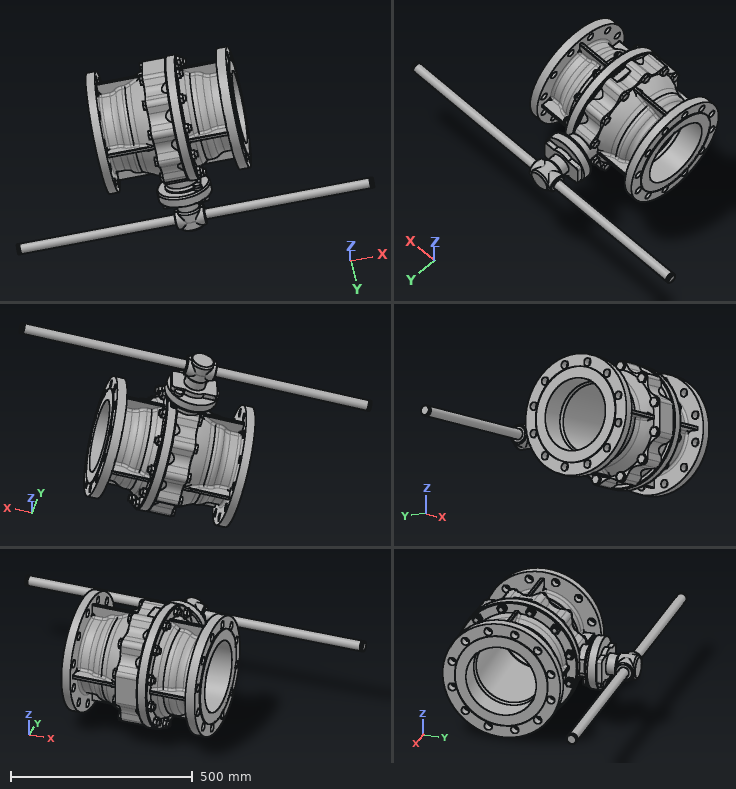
import cadquery as cq
import math


HALF_LENGTH = 200.0
MOUTH_RADIUS = 101.5
BORE_RADIUS = 97.5
MOUTH_DEPTH = 70.0
MOUTH_TAPER = 10.0
FLANGE_RADIUS = 170.0
RAISED_FACE_RADIUS = 134.0
RAISED_FACE_HEIGHT = 3.0
LEFT_FLANGE_BACK = 171.0
RIGHT_FLANGE_BACK = 169.0
BOLT_COUNT = 12
FLANGE_HOLE_CIRCLE_RADIUS = 147.5
FLANGE_HOLE_RADIUS = 11.0

PIPE_RADIUS = 113.0
SHOULDER_RADIUS = 127.0
SPHERE_RADIUS = 155.0
FLANGE_FILLET = 7.0
RIB_RADIUS = 151.0
RIB_THICKNESS = 10.0
RIB_FILLET = 7.0
RIB_CHAMFER = 1.5

BAND_START = -38.0
RING_START = 26.0
RING_END = 57.0
RING_RADIUS = 175.0
RING_CHAMFER = 3.0
BODY_BOLT_CIRCLE_RADIUS = 160.0
LOBE_RADIUS = 15.5
SCALLOP_RADIUS = 36.0
SCALLOP_FLOOR = 155.0
SCALLOP_CONE_LENGTH = 16.5
SCALLOP_CONE_RISE = 7.0
NUT_ACROSS_FLATS = 24.0
BOLT_HEAD_HEIGHT = 8.0
NUT_HEIGHT = 9.0
STUD_RADIUS = 8.0
STUD_LENGTH = 16.0
NAMEPLATE_START = 1.0
NAMEPLATE_LENGTH = 21.5
NAMEPLATE_WIDTH = 58.0
NAMEPLATE_TOP = 164.0

STEM_AXIS_X = -1.5
NECK_BASE = 120.0
NECK_RADIUS = 45.0
NECK_FLAT_X = 40.0
NECK_COLLAR_RADIUS = 50.0
NECK_COLLAR_START = 190.0
NECK_COLLAR_RISE = 8.0
DISC_RADIUS = 75.0
DISC_START = 202.0
DISC_END = 232.0
DISC_CHAMFER_RADIAL = 3.0
DISC_CHAMFER_AXIAL = 6.0
GLAND_END = 247.0
GLAND_RADIUS = 45.0
GLAND_LENGTH = 129.0
GLAND_WIDTH = 72.0
GLAND_CORNER_RADIUS = 8.0
STEM_RADIUS = 30.0
STOP_BOLT_OFFSET = 42.0
STOP_HEAD_RADIUS = 12.0
STOP_HEAD_HEIGHT = 9.0
STOP_NUT_HEIGHT = 7.0
STOP_END_RADIUS = 10.0
STOP_END_LENGTH = 14.0

HEAD_START = 274.0
HEAD_END = 332.0
HEAD_RADIUS = 35.0
HEAD_CHAMFER = 5.0
SLEEVE_END_RADIUS = 27.5
SLEEVE_HALF_LENGTH = 42.0
SLEEVE_WIDTH = 54.0
SLEEVE_CHAMFER_LENGTH = 2.0
SLEEVE_FACE_RADIUS = 23.0
BAR_RADIUS = 15.0
BAR_LENGTH = 1000.0
BAR_SHIFT = 12.0
BAR_END_CHAMFER = 2.0
BAR_GROOVE_INSET = 6.0
BAR_GROOVE_WIDTH = 3.0
BAR_GROOVE_DEPTH = 0.8

X_AXIS = cq.Vector(1, 0, 0)
Y_AXIS = cq.Vector(0, 1, 0)


def x_cylinder(radius, start, end, y=0.0, z=0.0):
    return cq.Workplane(cq.Solid.makeCylinder(radius, end - start, cq.Vector(start, y, z), X_AXIS))


def y_cylinder(radius, start, end, x=0.0, z=0.0):
    return cq.Workplane(cq.Solid.makeCylinder(radius, end - start, cq.Vector(x, start, z), Y_AXIS))


def polar(radius, degrees):
    angle = math.radians(degrees)
    return radius * math.cos(angle), radius * math.sin(angle)


def bolt_angles():
    pitch = 360.0 / BOLT_COUNT
    return [pitch * (index + 0.5) for index in range(BOLT_COUNT)]


def is_rib_root(edge, start, end):
    """True for the edges where a rib's side faces run along the shell, between two X stations."""
    for fraction in (0.1, 0.5, 0.9):
        point = edge.positionAt(fraction)
        side, height = sorted((abs(point.y), abs(point.z)))
        on_rib_side = math.isclose(side, RIB_THICKNESS / 2, abs_tol=0.001)
        on_shell = height < RIB_RADIUS - RIB_CHAMFER and start < point.x < end
        if not (on_rib_side and on_shell):
            return False
    return True


def sphere_radius_at(x):
    return math.sqrt(SPHERE_RADIUS**2 - x**2)


def body_shell(joint, flange_back, pipe_end, shoulder_outer, shoulder_inner, sphere_edge):
    """One half of the shell, revolved about X from its joint towards +X, with its four ribs."""
    pipe_start = flange_back - FLANGE_FILLET
    slope_mid = ((pipe_end + shoulder_outer) / 2, (PIPE_RADIUS + SHOULDER_RADIUS) / 2)
    sphere_mid = (joint + sphere_edge) / 2
    shell = (
        cq.Workplane("XY")
        .moveTo(joint, 0)
        .lineTo(flange_back, 0)
        .lineTo(flange_back, PIPE_RADIUS + FLANGE_FILLET)
        .radiusArc((pipe_start, PIPE_RADIUS), FLANGE_FILLET)
        .lineTo(pipe_end, PIPE_RADIUS)
        .tangentArcPoint(slope_mid, relative=False)
        .tangentArcPoint((shoulder_outer, SHOULDER_RADIUS), relative=False)
        .lineTo(shoulder_inner, SHOULDER_RADIUS)
        .lineTo(sphere_edge, sphere_radius_at(sphere_edge))
        .threePointArc((sphere_mid, sphere_radius_at(sphere_mid)), (joint, sphere_radius_at(joint)))
        .close()
        .revolve(360, (0, 0, 0), (1, 0, 0))
    )
    rib = cq.Workplane("XY").box(flange_back - joint, 2 * RIB_RADIUS, RIB_THICKNESS)
    rib = rib.faces("<Y or >Y").edges("|X").chamfer(RIB_CHAMFER)
    rib = rib.translate(((joint + flange_back) / 2, 0, 0))
    shell = shell.union(rib).union(rib.rotate((0, 0, 0), (1, 0, 0), 90))
    roots = [edge for edge in shell.edges().vals() if is_rib_root(edge, joint, pipe_start)]
    return shell.newObject(roots).fillet(RIB_FILLET)


def end_flange(side, back):
    """Flange with raised face; side is -1 for the -X end and +1 for the +X end."""
    face = HALF_LENGTH - RAISED_FACE_HEIGHT
    start, end = sorted((side * back, side * face))
    flange = x_cylinder(FLANGE_RADIUS, start, end)
    for angle in bolt_angles():
        y, z = polar(FLANGE_HOLE_CIRCLE_RADIUS, angle)
        flange = flange.cut(x_cylinder(FLANGE_HOLE_RADIUS, start, end, y, z))
    start, end = sorted((side * back, side * HALF_LENGTH))
    return flange.union(x_cylinder(RAISED_FACE_RADIUS, start, end))


def tangent_flank(bolt, scallop):
    """Touch points, on the lobe and on the scallop, of the straight flank joining their circles."""
    dy, dz = scallop[0] - bolt[0], scallop[1] - bolt[1]
    distance = math.hypot(dy, dz)
    heading = math.atan2(dz, dy)
    turn = math.acos((LOBE_RADIUS + SCALLOP_RADIUS) / distance)
    clockwise = bolt[0] * dz - bolt[1] * dy < 0
    direction = heading + (turn if clockwise else -turn)
    normal_y, normal_z = math.cos(direction), math.sin(direction)
    on_lobe = (bolt[0] + LOBE_RADIUS * normal_y, bolt[1] + LOBE_RADIUS * normal_z)
    on_scallop = (scallop[0] - SCALLOP_RADIUS * normal_y, scallop[1] - SCALLOP_RADIUS * normal_z)
    return on_lobe, on_scallop


def mirrored_about(point, degrees):
    """Reflect a YZ point in the radial line at the given angle."""
    radius = math.hypot(*point)
    angle = math.degrees(math.atan2(point[1], point[0]))
    return polar(radius, 2 * degrees - angle)


def lobed_band():
    """Band with a round lobe at every bolt, hollows between them and flat pads at +Y and -Y."""
    half_pitch = 180.0 / BOLT_COUNT
    outline = None
    for angle in bolt_angles():
        bolt = polar(BODY_BOLT_CIRCLE_RADIUS, angle)
        before = polar(SCALLOP_FLOOR + SCALLOP_RADIUS, angle - half_pitch)
        after = polar(SCALLOP_FLOOR + SCALLOP_RADIUS, angle + half_pitch)
        lobe_in, scallop_out = tangent_flank(bolt, before)
        lobe_out, scallop_in = tangent_flank(bolt, after)
        lobe_tip = polar(BODY_BOLT_CIRCLE_RADIUS + LOBE_RADIUS, angle)
        scallop_floor = polar(SCALLOP_FLOOR, angle + half_pitch)
        if outline is None:
            outline = cq.Workplane("YZ", origin=(BAND_START, 0, 0)).moveTo(*scallop_out)
        outline = outline.lineTo(*lobe_in).threePointArc(lobe_tip, lobe_out).lineTo(*scallop_in)
        next_scallop_out = mirrored_about(scallop_in, angle + half_pitch)
        outline = outline.threePointArc(scallop_floor, next_scallop_out)
    band = outline.close().extrude(RING_START - BAND_START)

    bolt_y, bolt_z = polar(BODY_BOLT_CIRCLE_RADIUS, half_pitch)
    pad = cq.Workplane("XY").box(RING_START - BAND_START, 2 * (bolt_y + LOBE_RADIUS), 2 * bolt_z)
    return band.union(pad.translate(((BAND_START + RING_START) / 2, 0, 0)))


def joint_ring():
    ring = x_cylinder(RING_RADIUS, RING_START, RING_END).edges().chamfer(RING_CHAMFER)
    cone = cq.Solid.makeCone(
        SCALLOP_FLOOR,
        SCALLOP_FLOOR + SCALLOP_CONE_RISE,
        SCALLOP_CONE_LENGTH,
        cq.Vector(RING_START - SCALLOP_CONE_LENGTH, 0, 0),
        X_AXIS,
    )
    return ring.union(cq.Workplane(cone))


def hexagon_x(start, height, y, z):
    diameter = NUT_ACROSS_FLATS / math.cos(math.radians(30))
    return cq.Workplane("YZ", origin=(start, y, z)).polygon(6, diameter).extrude(height)


def body_bolts():
    """Bolt heads on the band, nuts and stud ends on the ring."""
    bolts = cq.Workplane("XY")
    for angle in bolt_angles():
        y, z = polar(BODY_BOLT_CIRCLE_RADIUS, angle)
        bolts = bolts.add(hexagon_x(BAND_START - BOLT_HEAD_HEIGHT, BOLT_HEAD_HEIGHT, y, z))
        bolts = bolts.add(hexagon_x(RING_END, NUT_HEIGHT, y, z))
        bolts = bolts.add(x_cylinder(STUD_RADIUS, RING_END, RING_END + STUD_LENGTH, y, z))
    return bolts.combine()


def nameplate():
    """Block on the +Z side, filling part of the hollow there."""
    base = cq.Workplane("XY", origin=(NAMEPLATE_START, 0, 0))
    return base.box(NAMEPLATE_LENGTH, NAMEPLATE_WIDTH, NAMEPLATE_TOP, centered=(False, True, False))


def bore_cutter():
    """Through bore that tapers out to a wider mouth at both ends."""
    mouth_end = HALF_LENGTH - MOUTH_DEPTH
    taper_end = mouth_end - MOUTH_TAPER
    return (
        cq.Workplane("XY")
        .moveTo(-HALF_LENGTH, 0)
        .lineTo(-HALF_LENGTH, MOUTH_RADIUS)
        .lineTo(-mouth_end, MOUTH_RADIUS)
        .lineTo(-taper_end, BORE_RADIUS)
        .lineTo(taper_end, BORE_RADIUS)
        .lineTo(mouth_end, MOUTH_RADIUS)
        .lineTo(HALF_LENGTH, MOUTH_RADIUS)
        .lineTo(HALF_LENGTH, 0)
        .close()
        .revolve(360, (0, 0, 0), (1, 0, 0))
    )


def neck():
    """Neck below the disc, flattened beside the joint ring, with its conical collar and the disc."""
    column = y_cylinder(NECK_RADIUS, NECK_BASE, DISC_START)
    beyond_flat = cq.Workplane("XY", origin=(NECK_FLAT_X, 0, 0)).box(
        NECK_RADIUS, 2 * DISC_START, 2 * NECK_RADIUS, centered=(False, True, True)
    )
    cone = cq.Solid.makeCone(
        NECK_RADIUS, NECK_COLLAR_RADIUS, NECK_COLLAR_RISE, cq.Vector(0, NECK_COLLAR_START, 0), Y_AXIS
    )
    collar = y_cylinder(NECK_COLLAR_RADIUS, NECK_COLLAR_START + NECK_COLLAR_RISE, DISC_START)
    disc = y_cylinder(DISC_RADIUS, DISC_START, DISC_END)
    disc = disc.faces("<Y").chamfer(DISC_CHAMFER_AXIAL, DISC_CHAMFER_RADIAL)
    return column.cut(beyond_flat).union(cq.Workplane(cone)).union(collar).union(disc)


def gland():
    """Oblong gland plate with the stem standing on it."""
    thickness = GLAND_END - DISC_END
    plate = cq.Workplane("XY").box(GLAND_LENGTH, thickness, GLAND_WIDTH)
    plate = plate.edges("|Y").fillet(GLAND_CORNER_RADIUS).translate((0, DISC_END + thickness / 2, 0))
    plate = plate.union(y_cylinder(GLAND_RADIUS, DISC_END, GLAND_END))
    return plate.union(y_cylinder(STEM_RADIUS, GLAND_END, HEAD_START))


def stop_bolt():
    x, z = STOP_BOLT_OFFSET, -STOP_BOLT_OFFSET
    head = y_cylinder(STOP_HEAD_RADIUS, DISC_END, DISC_END + STOP_HEAD_HEIGHT, x, z)
    nut = y_cylinder(STOP_HEAD_RADIUS, DISC_START - STOP_NUT_HEIGHT, DISC_START, x, z)
    end = y_cylinder(STOP_END_RADIUS, DISC_START - STOP_END_LENGTH, DISC_START, x, z)
    return head.union(nut).union(end)


def lever_head():
    """Upright barrel crossed by a sleeve that tapers towards both ends and holds the bar."""
    axis_y = (HEAD_START + HEAD_END) / 2
    barrel = y_cylinder(HEAD_RADIUS, HEAD_START, HEAD_END).edges().chamfer(HEAD_CHAMFER)
    taper_end = SLEEVE_HALF_LENGTH - SLEEVE_CHAMFER_LENGTH
    sleeve = (
        cq.Workplane("XY")
        .moveTo(-SLEEVE_HALF_LENGTH, 0)
        .lineTo(-SLEEVE_HALF_LENGTH, SLEEVE_FACE_RADIUS)
        .lineTo(-taper_end, SLEEVE_END_RADIUS)
        .lineTo(0, HEAD_RADIUS)
        .lineTo(taper_end, SLEEVE_END_RADIUS)
        .lineTo(SLEEVE_HALF_LENGTH, SLEEVE_FACE_RADIUS)
        .lineTo(SLEEVE_HALF_LENGTH, 0)
        .close()
        .revolve(360, (0, 0, 0), (1, 0, 0))
    )
    slab = cq.Workplane("XY").box(2 * SLEEVE_HALF_LENGTH, SLEEVE_WIDTH, 2 * HEAD_RADIUS)
    return barrel.union(sleeve.intersect(slab).translate((0, axis_y, 0)))


def lever_bar():
    axis_y = (HEAD_START + HEAD_END) / 2
    start = BAR_SHIFT - BAR_LENGTH / 2
    end = BAR_SHIFT + BAR_LENGTH / 2
    bar = x_cylinder(BAR_RADIUS, start, end, axis_y).edges("%CIRCLE").chamfer(BAR_END_CHAMFER)
    for groove_start in (start + BAR_GROOVE_INSET, end - BAR_GROOVE_INSET - BAR_GROOVE_WIDTH):
        groove_end = groove_start + BAR_GROOVE_WIDTH
        groove = x_cylinder(BAR_RADIUS, groove_start, groove_end, axis_y)
        groove = groove.cut(x_cylinder(BAR_RADIUS - BAR_GROOVE_DEPTH, groove_start, groove_end, axis_y))
        bar = bar.cut(groove)
    return bar


left_shell = body_shell(
    joint=-BAND_START,
    flange_back=LEFT_FLANGE_BACK,
    pipe_end=140.5,
    shoulder_outer=104.6,
    shoulder_inner=95.0,
    sphere_edge=80.0,
).mirror("YZ")
right_shell = body_shell(
    joint=RING_START,
    flange_back=RIGHT_FLANGE_BACK,
    pipe_end=140.0,
    shoulder_outer=101.0,
    shoulder_inner=87.0,
    sphere_edge=73.0,
)

body = (
    left_shell.union(right_shell)
    .union(lobed_band())
    .union(joint_ring())
    .union(end_flange(-1, LEFT_FLANGE_BACK))
    .union(end_flange(1, RIGHT_FLANGE_BACK))
    .union(body_bolts())
    .union(nameplate())
    .cut(bore_cutter())
)
stem_assembly = neck().union(gland()).union(stop_bolt()).union(lever_head()).translate((STEM_AXIS_X, 0, 0))

result = body.union(stem_assembly).union(lever_bar())